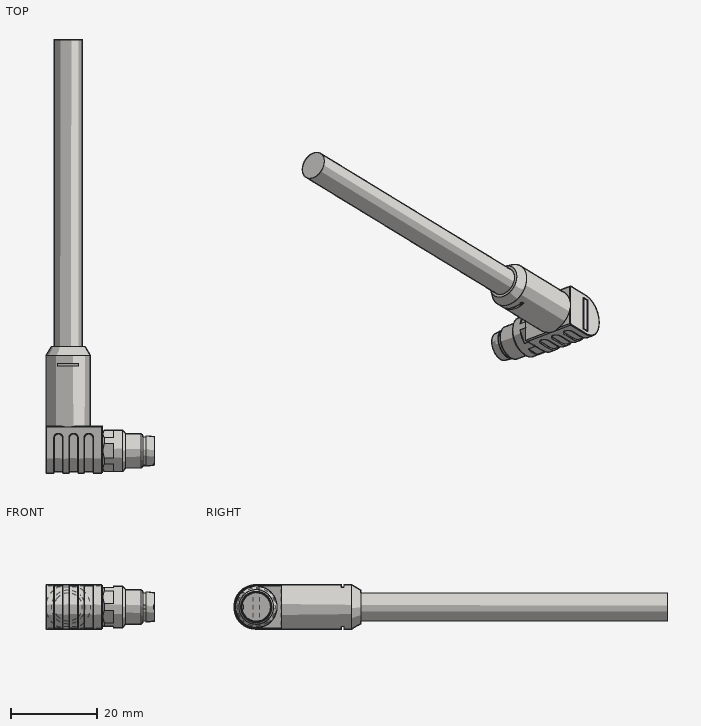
import cadquery as cq
import math


body_height = 10.3
body_length = 13.1
body_back_y = 5.8
body_front_y = -body_height / 2
nose_radius = 5.1
body_edge_chamfer = 0.3
closed_end_chamfer = 0.15

slot_count = 3
slot_first_x = 2.9
slot_pitch = 3.5
slot_floor_width = 1.9
slot_depth = 0.3
slot_floor_end_y = 3.9
slot_wall_slope = 0.5

panel_width = 1.5
panel_height = 8.2
panel_depth = 0.2

sleeve_diameter = body_height
sleeve_start_y = body_back_y - body_edge_chamfer
sleeve_end_y = 22.1
cable_x = sleeve_diameter / 2
taper_end_y = 24.2
taper_end_diameter = 7.8
cable_diameter = 6.5
total_length = 100.3
cable_end_y = body_front_y + total_length

slit_y = 20.0
slit_width = 0.6
slit_depth = 0.6

nut_diameter = 9.6
nut_start_chamfer = 0.4
nut_shoulder_x = 17.8
barrel_start_x = 18.5
barrel_diameter = 8.0
barrel_end_x = 22.5
barrel_chamfer = 0.4
groove_diameter = 6.5
tip_start_x = 23.2
tip_taper_x = 23.9
tip_diameter = 6.9
tip_end_x = 25.2
tip_end_diameter = 6.6

flat_count = 6
flats_across = 9.0
flats_end_x = 15.6

key_width = 0.9
key_notch_length = 0.3
key_notch_floor_radius = 2.9


def make_body():
    """Block along X with a rounded nose on its -Y side."""
    depth = body_back_y - body_front_y
    body = cq.Workplane("XY").box(body_length, depth, body_height, centered=(False, False, True))
    body = body.translate((0, body_front_y, 0)).edges("|X and <Y").fillet(nose_radius)
    body = body.faces(">X or >Y").edges("not ((>X and >Y) or <X)").chamfer(body_edge_chamfer)
    return body.faces("<X").edges().chamfer(closed_end_chamfer)


def make_slot_cutter(center_x):
    """Slot with sloping walls that runs from the top face around the nose to the bottom face."""
    floor_radius = body_height / 2 - slot_depth
    floor_half_width = slot_floor_width / 2
    cut_height = 2 * slot_depth
    mouth_half_width = floor_half_width + cut_height * slot_wall_slope
    nose_ring = (
        cq.Workplane("XZ")
        .moveTo(center_x - floor_half_width, floor_radius)
        .lineTo(center_x + floor_half_width, floor_radius)
        .lineTo(center_x + mouth_half_width, floor_radius + cut_height)
        .lineTo(center_x - mouth_half_width, floor_radius + cut_height)
        .close()
        .revolve(360, (0, 0, 0), (1, 0, 0))
    )
    behind_axis = cq.Workplane("XY").box(
        body_length, body_height, 2 * body_height, centered=(False, False, True)
    )
    cutter = nose_ring.cut(behind_axis)

    arc_center_y = slot_floor_end_y - floor_half_width
    top_groove = (
        cq.Workplane("XY").workplane(offset=floor_radius)
        .moveTo(center_x - floor_half_width, 0)
        .lineTo(center_x - floor_half_width, arc_center_y)
        .threePointArc((center_x, slot_floor_end_y), (center_x + floor_half_width, arc_center_y))
        .lineTo(center_x + floor_half_width, 0)
        .close()
        .extrude(cut_height, taper=-math.degrees(math.atan(slot_wall_slope)))
    )
    return cutter.union(top_groove).union(top_groove.mirror("XY"))


def make_panel_cutter():
    return cq.Workplane("XY").box(2 * panel_depth, panel_width, panel_height)


def make_cable():
    """Sleeve, taper and cable turned about the cable axis."""
    return (
        cq.Workplane("XY")
        .moveTo(0, sleeve_start_y)
        .lineTo(sleeve_diameter / 2, sleeve_start_y)
        .lineTo(sleeve_diameter / 2, sleeve_end_y)
        .lineTo(taper_end_diameter / 2, taper_end_y)
        .lineTo(cable_diameter / 2, taper_end_y)
        .lineTo(cable_diameter / 2, cable_end_y)
        .lineTo(0, cable_end_y)
        .close()
        .revolve(360, (0, 0, 0), (0, 1, 0))
        .translate((cable_x, 0, 0))
    )


def make_slit_cutter(side):
    slit = cq.Workplane("XY").box(sleeve_diameter, slit_width, 2 * slit_depth)
    return slit.translate((cable_x, slit_y, side * sleeve_diameter / 2))


def make_plug():
    """Nut, barrel, groove and tip turned about the plug axis."""
    nut_radius = nut_diameter / 2
    barrel_radius = barrel_diameter / 2
    return (
        cq.Workplane("XY")
        .moveTo(body_length, 0)
        .lineTo(body_length, nut_radius - nut_start_chamfer)
        .lineTo(body_length + nut_start_chamfer, nut_radius)
        .lineTo(nut_shoulder_x, nut_radius)
        .lineTo(barrel_start_x, barrel_radius)
        .lineTo(barrel_end_x - barrel_chamfer, barrel_radius)
        .lineTo(barrel_end_x, barrel_radius - barrel_chamfer)
        .lineTo(barrel_end_x, groove_diameter / 2)
        .lineTo(tip_start_x, groove_diameter / 2)
        .lineTo(tip_start_x, tip_diameter / 2)
        .lineTo(tip_taper_x, tip_diameter / 2)
        .lineTo(tip_end_x, tip_end_diameter / 2)
        .lineTo(tip_end_x, 0)
        .close()
        .revolve(360, (0, 0, 0), (1, 0, 0))
    )


def make_flats_cutter():
    """Ring around a hexagon that has flats facing +Z and -Z."""
    corner_diameter = flats_across / math.cos(math.pi / flat_count)
    return (
        cq.Workplane("YZ").workplane(offset=body_length)
        .circle(nut_diameter)
        .polygon(flat_count, corner_diameter)
        .extrude(flats_end_x - body_length)
    )


def make_key_rib():
    """Rib bridging the groove, flush with the tip diameter."""
    length = tip_start_x - barrel_end_x
    rib = cq.Workplane("XY").box(length, tip_diameter / 2, key_width, centered=(False, False, True))
    return rib.translate((barrel_end_x, -tip_diameter / 2, 0))


def make_key_notch_cutter():
    notch = cq.Workplane("XY").box(key_notch_length, tip_diameter, key_width, centered=(False, False, True))
    return notch.translate((tip_end_x - key_notch_length, -key_notch_floor_radius - tip_diameter, 0))


body = make_body()
for index in range(slot_count):
    body = body.cut(make_slot_cutter(slot_first_x + index * slot_pitch))
body = body.cut(make_panel_cutter())

cable = make_cable()
for side in (-1, 1):
    cable = cable.cut(make_slit_cutter(side))
plug = make_plug().cut(make_flats_cutter()).union(make_key_rib()).cut(make_key_notch_cutter())

result = body.union(cable).union(plug)